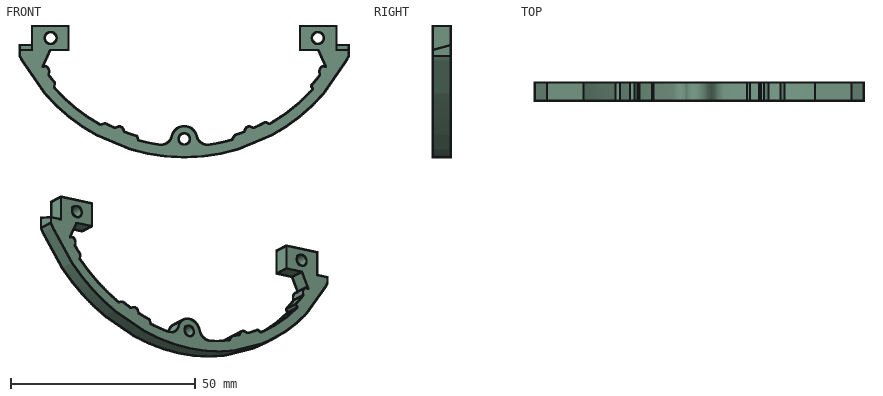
import cadquery as cq
import math

THICKNESS = 5.0
OVERALL_WIDTH = 89.3
OVERALL_HEIGHT = 35.7

OUTER_RADIUS = 50.0
INNER_RADIUS = 47.0
PAD_RADIUS = 46.0

LOWER_FLAT = (14.6, 23.8)
UPPER_FLAT = (37.8, 43.95)

BOSS_RADIUS = 3.5
BOSS_HEIGHT = 5.0
BOSS_HOLE_DIAMETER = 3.0
BOSS_FILLET = 3.0

BLOCK_WIDTH = 10.0
BLOCK_HEIGHT = 6.6
BLOCK_HOLE_DIAMETER = 3.17
BLOCK_HOLE_X = 36.25
NECK_TOP_X = 36.35

LEDGE_WIDTH = 3.3
LEDGE_FRONT_DROP = 6.55
LEDGE_RISE = 1.35

LOWER_NUB_FEET = (16.2, 18.85)
LOWER_NUB_CREST = ((16.75, 8.1), (17.55, 8.5))

UPPER_NUB_FOOT_X = 36.85
UPPER_NUB_ROUND = (36.75, 23.9)
UPPER_NUB_CREST = (37.6, 24.8)
NOTCH = (38.4, 24.6)

RIGHT_STEPS = {"low": (12.95, 13.75), "middle": (23.15, 22.05), "high": (34.95, 34.35)}
LEFT_STEPS = {"low": (12.4, 12.8), "middle": (22.75, 21.45), "high": (35.25, 35.1)}

HALF_WIDTH = OVERALL_WIDTH / 2
RIM_BOTTOM = -OUTER_RADIUS
BLOCK_TOP = RIM_BOTTOM + OVERALL_HEIGHT
BLOCK_BOTTOM = BLOCK_TOP - BLOCK_HEIGHT
BLOCK_OUTER_X = HALF_WIDTH - LEDGE_WIDTH
BLOCK_INNER_X = BLOCK_OUTER_X - BLOCK_WIDTH
LEDGE_FRONT = BLOCK_TOP - LEDGE_FRONT_DROP
LEDGE_BACK = LEDGE_FRONT + LEDGE_RISE
BOSS_Z = RIM_BOTTOM + BOSS_HEIGHT
FRONT_Y = -THICKNESS / 2
BACK_Y = THICKNESS / 2


def on_arc(radius, x):
    """Point at x on the lower half of a circle around the rim centre."""
    return (x, -math.sqrt(radius**2 - x**2))


def above_bottom(point):
    """Turn (x, height above the rim bottom) into (x, z)."""
    x, height = point
    return (x, RIM_BOTTOM + height)


def boss_fillet_points():
    """Start, middle and end of the fillet running from the boss to the inner arc."""
    to_boss = BOSS_RADIUS + BOSS_FILLET
    to_rim = INNER_RADIUS - BOSS_FILLET
    center_z = (to_rim**2 - to_boss**2 + BOSS_Z**2) / (2 * BOSS_Z)
    center_x = math.sqrt(to_rim**2 - center_z**2)
    toward_boss = math.atan2(BOSS_Z - center_z, -center_x) % (2 * math.pi)
    toward_rim = math.atan2(center_z, center_x) % (2 * math.pi)
    angles = (toward_boss, (toward_boss + toward_rim) / 2, toward_rim)
    return [
        (center_x + BOSS_FILLET * math.cos(a), center_z + BOSS_FILLET * math.sin(a))
        for a in angles
    ]


def follow_arc(outline, radius, start_x, end_x):
    """Extend the outline along a rim arc from start_x to end_x."""
    return outline.threePointArc(on_arc(radius, (start_x + end_x) / 2), on_arc(radius, end_x))


def half_rim(steps):
    """Right-hand half of the bracket, from the middle plane to the end block."""
    low_foot, low_top = steps["low"]
    middle_foot, middle_top = steps["middle"]
    high_foot, high_top = steps["high"]
    nub_start, nub_end = LOWER_NUB_FEET
    fillet_start, fillet_middle, fillet_end = boss_fillet_points()
    boss_angle = (math.atan2(fillet_start[1] - BOSS_Z, fillet_start[0]) + math.pi / 2) / 2
    boss_middle = (BOSS_RADIUS * math.cos(boss_angle), BOSS_Z + BOSS_RADIUS * math.sin(boss_angle))

    rim = cq.Workplane("XZ", origin=(0, BACK_Y, 0)).moveTo(0, RIM_BOTTOM)
    rim = follow_arc(rim, OUTER_RADIUS, 0, LOWER_FLAT[0])
    rim = rim.lineTo(*on_arc(OUTER_RADIUS, LOWER_FLAT[1]))
    rim = follow_arc(rim, OUTER_RADIUS, LOWER_FLAT[1], UPPER_FLAT[0])
    rim = rim.lineTo(*on_arc(OUTER_RADIUS, UPPER_FLAT[1]))
    rim = follow_arc(rim, OUTER_RADIUS, UPPER_FLAT[1], HALF_WIDTH)
    rim = rim.lineTo(HALF_WIDTH, LEDGE_FRONT)

    rim = rim.lineTo(BLOCK_OUTER_X, LEDGE_FRONT).lineTo(BLOCK_OUTER_X, BLOCK_TOP)
    rim = rim.lineTo(BLOCK_INNER_X, BLOCK_TOP).lineTo(BLOCK_INNER_X, BLOCK_BOTTOM)
    rim = rim.lineTo(NECK_TOP_X, BLOCK_BOTTOM).lineTo(*above_bottom(NOTCH))

    rim = rim.lineTo(*above_bottom(UPPER_NUB_CREST))
    rim = rim.threePointArc(above_bottom(UPPER_NUB_ROUND), on_arc(PAD_RADIUS, UPPER_NUB_FOOT_X))
    rim = follow_arc(rim, PAD_RADIUS, UPPER_NUB_FOOT_X, high_top)
    rim = rim.lineTo(*on_arc(INNER_RADIUS, high_foot))
    rim = follow_arc(rim, INNER_RADIUS, high_foot, middle_foot)

    rim = rim.lineTo(*on_arc(PAD_RADIUS, middle_top))
    rim = follow_arc(rim, PAD_RADIUS, middle_top, nub_end)
    for crest_point in reversed(LOWER_NUB_CREST):
        rim = rim.lineTo(*above_bottom(crest_point))
    rim = rim.lineTo(*on_arc(PAD_RADIUS, nub_start))
    rim = follow_arc(rim, PAD_RADIUS, nub_start, low_top)
    rim = rim.lineTo(*on_arc(INNER_RADIUS, low_foot))

    rim = follow_arc(rim, INNER_RADIUS, low_foot, fillet_end[0])
    rim = rim.threePointArc(fillet_middle, fillet_start)
    rim = rim.threePointArc(boss_middle, (0, BOSS_Z + BOSS_RADIUS))
    return rim.close().extrude(THICKNESS)


def ledge_wedge():
    """Sloped top of the right-hand ledge, a triangle in side profile."""
    return (
        cq.Workplane("YZ", origin=(BLOCK_OUTER_X, 0, 0))
        .moveTo(FRONT_Y, LEDGE_FRONT)
        .lineTo(BACK_Y, LEDGE_FRONT)
        .lineTo(BACK_Y, LEDGE_BACK)
        .close()
        .extrude(LEDGE_WIDTH)
    )


def half_bracket(steps):
    """Right-hand half with its ledge."""
    return half_rim(steps).union(ledge_wedge())


def through_hole(x, z, diameter):
    """Cylinder that cuts a hole along Y."""
    return (
        cq.Workplane("XZ", origin=(0, BACK_Y, 0))
        .center(x, z)
        .circle(diameter / 2)
        .extrude(THICKNESS)
    )


result = half_bracket(RIGHT_STEPS).union(half_bracket(LEFT_STEPS).mirror("YZ")).clean()

block_hole_z = (BLOCK_TOP + BLOCK_BOTTOM) / 2
for hole_x in (-BLOCK_HOLE_X, BLOCK_HOLE_X):
    result = result.cut(through_hole(hole_x, block_hole_z, BLOCK_HOLE_DIAMETER))
result = result.cut(through_hole(0, BOSS_Z, BOSS_HOLE_DIAMETER))